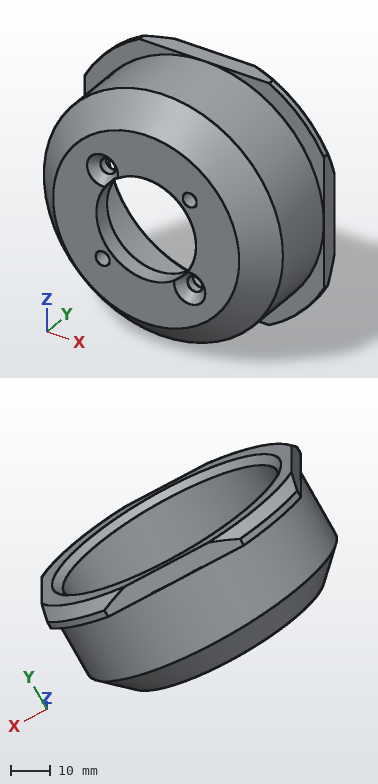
import cadquery as cq
import math

width = 72.0
length = 32.0
body_radius = width / 2
front_bevel = 8.0

flange_thickness = 5.0
flange_radius = 41.0
flange_bevel = 3.0

front_wall = 5.0
bore_radius = 15.0
cavity_radius = 31.0
mouth_chamfer = 2.0

hole_offset = 13.1
plain_hole_radius = 2.1
countersunk_hole_radius = 2.2
countersink_radius = 4.7
countersink_angle = 90.0


def revolve_profile(points):
    """Revolve a closed (radius, Y) outline around the Y axis."""
    return cq.Workplane("XY").polyline(points).close().revolve(360, (0, 0), (0, 1))


def make_body():
    return revolve_profile([
        (0, 0),
        (body_radius - front_bevel, 0),
        (body_radius, front_bevel),
        (body_radius, length),
        (0, length),
    ])


def make_flange():
    disc = revolve_profile([
        (0, length - flange_thickness),
        (flange_radius, length - flange_thickness),
        (flange_radius, length - flange_bevel),
        (flange_radius - flange_bevel, length),
        (0, length),
    ])
    square = cq.Workplane("XY").box(width, length, width).translate((0, length / 2, 0))
    return disc.intersect(square)


def make_interior():
    """Bore through the front wall, opening into the cavity with a chamfered mouth."""
    return revolve_profile([
        (0, 0),
        (bore_radius, 0),
        (bore_radius, front_wall),
        (cavity_radius, front_wall),
        (cavity_radius, length - mouth_chamfer),
        (cavity_radius + mouth_chamfer, length),
        (0, length),
    ])


def make_plain_hole():
    return revolve_profile([
        (0, 0),
        (plain_hole_radius, 0),
        (plain_hole_radius, front_wall),
        (0, front_wall),
    ])


def make_countersunk_hole():
    half_angle = math.radians(countersink_angle / 2)
    depth = (countersink_radius - countersunk_hole_radius) / math.tan(half_angle)
    return revolve_profile([
        (0, 0),
        (countersink_radius, 0),
        (countersunk_hole_radius, depth),
        (countersunk_hole_radius, front_wall),
        (0, front_wall),
    ])


result = make_body().union(make_flange()).cut(make_interior())

for side in (-1, 1):
    x = side * hole_offset
    result = result.cut(make_plain_hole().translate((x, 0, x)))
    result = result.cut(make_countersunk_hole().translate((x, 0, -x)))